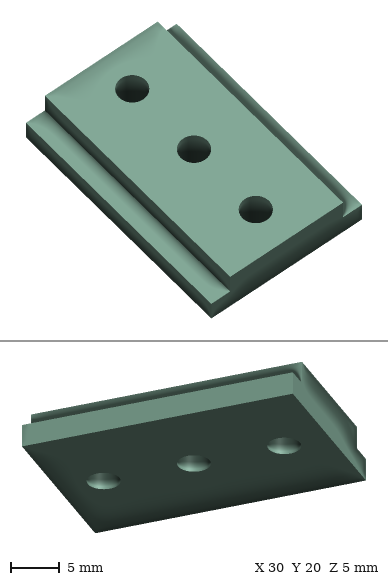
import cadquery as cq

length = 30.0
base_width = 20.0
height = 5.0

flange = height / 2
rail_width = base_width - 2 * flange

hole_diameter = 3.5
hole_count = 3
hole_spacing = length / hole_count

base = cq.Workplane("XY").box(length, base_width, flange, centered=(True, True, False))

rail = cq.Workplane("XY").box(length, rail_width, height, centered=(True, True, False))

holes = (
    cq.Workplane("XY")
    .rarray(hole_spacing, 0.3, hole_count, 1)
    .circle(hole_diameter / 2)
    .extrude(height)
)

result = base.union(rail).cut(holes)